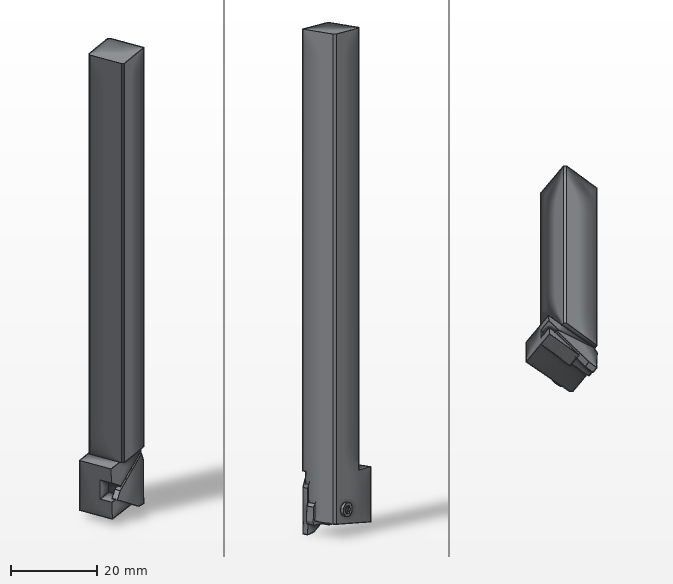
import cadquery as cq
import math


tool_length = 120.01
shank_size = 9.525
shank_chamfer = 0.5
head_step = 3.92
head_top = 15.0
head_bottom = 1.9
head_depth = shank_size + head_step
face_setback = 0.45
relief_angle = 7.0
support_width = 4.0
support_end = -4.8

insert_lean = 1.8
insert_y = -4.1
insert_z = 6.5
tip_count = 3
tip_step = 360 / tip_count
blade_width = 1.45
body_width = 2.0
insert_width = blade_width + body_width
rake_height = 2.4
flank = [(0, 0), (-2.3, 0.3), (-3.8, 1.27)]
body_corner = [(0.5, 7.0), (0.531, 3.45), (0.3, 2.7)]

window_width = 4.0
window_bottom = 6.3
window_top = 11.35
window_depth = 4.0
window_roof_drop = 2.5

screw_diameter = 3.3
screw_height = 0.825
screw_y = -3.8
screw_z = 6.55
socket_diameter = 1.6
lobe_count = 6
lobe_diameter = 0.5
socket_depth = 0.6


def turned(point, angle):
    """A (Y, Z) point turned about the axis of the insert."""
    y = point[0] - insert_y
    z = point[1] - insert_z
    c = math.cos(math.radians(angle))
    s = math.sin(math.radians(angle))
    return (insert_y + y * c - z * s, insert_z + y * s + z * c)


def three_fold(corner):
    """The outline made by repeating the points of one corner at every tip."""
    return [turned(p, -i * tip_step) for i in range(tip_count) for p in corner]


def leaned(part):
    """Tilts a part about the working tip, so that the centre of the insert moves towards -X."""
    return part.rotate((-blade_width, 0, 0), (-blade_width, -insert_z, insert_y), insert_lean)


def plate(outline, x_start, x_end):
    """A plate with a (Y, Z) outline, from x_start to x_end, leaning with the insert."""
    flat = cq.Workplane("YZ", origin=(x_start, 0, 0)).polyline(outline).close().extrude(x_end - x_start)
    return leaned(flat)


def make_insert():
    blade = plate(three_fold([(0, rake_height)] + flank), -blade_width, 0)
    body = plate(three_fold(body_corner), -insert_width, -blade_width)
    return blade.union(body)


def make_shank():
    shank = cq.Workplane("XY", origin=(-shank_size / 2, -shank_size / 2, head_top))
    shank = shank.rect(shank_size, shank_size).extrude(tool_length - head_top)
    return shank.edges("|Z").edges("<X or <Y").chamfer(shank_chamfer)


def make_head_block():
    outline = [(0, head_top), (-head_depth, head_top), (-head_depth, head_bottom), (0, head_bottom)]
    block = cq.Workplane("YZ").polyline(outline).close().extrude(-shank_size)
    return block.edges("|Z").edges("<X and >Y").chamfer(shank_chamfer)


def make_face_cut():
    """Clears the +X side of the head down to a face parallel to the insert."""
    reach = 4 * head_top
    return leaned(cq.Workplane("YZ", origin=(-face_setback, 0, 0)).rect(reach, reach).extrude(shank_size))


def make_bottom_relief():
    """The wedge under the head that rises towards +Y, less the flat support behind the working tip."""
    rise = head_depth * math.tan(math.radians(relief_angle))
    outline = [(-head_depth, head_bottom), (0, head_bottom + rise), (0, head_bottom)]
    wedge = cq.Workplane("YZ").polyline(outline).close().extrude(-shank_size)
    support = cq.Workplane("XY").box(support_width, head_depth + support_end, rise, centered=False)
    return wedge.cut(support.translate((-support_width, -head_depth, head_bottom)))


def make_window():
    outline = [
        (-head_depth, window_bottom),
        (-head_depth, window_top),
        (-head_depth + window_depth, window_top - window_roof_drop),
        (-head_depth + window_depth, window_bottom),
    ]
    return cq.Workplane("YZ").polyline(outline).close().extrude(-window_width)


def make_screw_end():
    screw = cq.Workplane("YZ", origin=(-shank_size, screw_y, screw_z))
    screw = screw.circle(screw_diameter / 2).extrude(-screw_height)
    end_face = screw.faces("<X").workplane()
    core = end_face.circle(socket_diameter / 2).extrude(-socket_depth, combine=False)
    lobes = end_face.polarArray(socket_diameter / 2, 0, 360, lobe_count).circle(lobe_diameter / 2)
    return screw.cut(core).cut(lobes.extrude(-socket_depth, combine=False))


insert = make_insert()

head = make_head_block().cut(make_face_cut()).cut(make_bottom_relief())
holder = make_shank().union(head).cut(make_window()).cut(insert).union(make_screw_end())

result = cq.Compound.makeCompound([holder.solids().val(), insert.solids().val()])